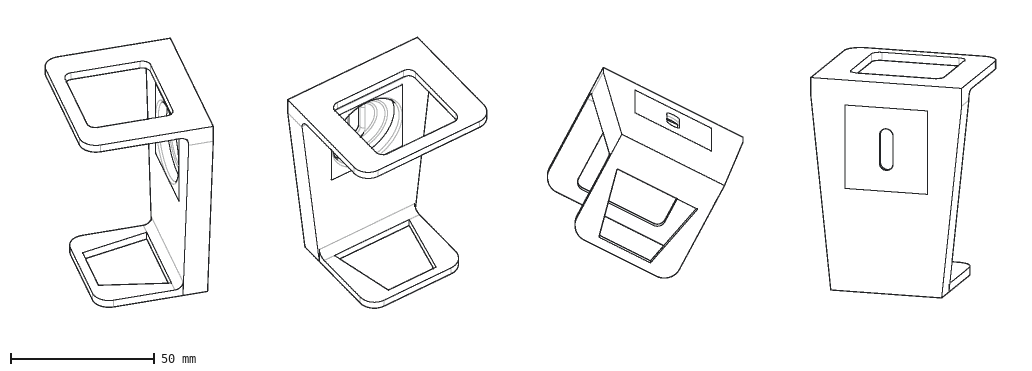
import cadquery as cq
import math

height = 76.0
top_width = 55.0
bottom_width = 40.4
plate_thickness = 9.0
flange_thickness = 3.0
flange_corner_radius = 6.0
root_fillet_radius = 3.0
top_reach = 47.0
bottom_reach = 40.1
taper_top = height - 6.4

top_window_width = 34.0
top_window_rear = 11.0
top_window_front = 42.0
top_window_radius = 3.0

bottom_window_rear = plate_thickness + root_fillet_radius
bottom_window_front = 36.8
bottom_window_rear_width = 31.6
bottom_window_front_width = 20.2

insert_size = 30.0
insert_center_z = 52.0

bore_radius = 28.3 / 2
bore_depth = 3.8
mouth_fillet_radius = 0.75
cone_top_radius = 10.8
floor_radius = 8.2
floor_depth = 6.5
cone_fillet_radius = 1.15

slot_width = 4.95
slot_straight = 9.95
slot_mouth_width = 7.45
slot_mouth_relief = 0.45
slot_fillet_radius = (slot_mouth_width - slot_width) / 2

plate_front = -plate_thickness


def make_back_plate():
    """Plate with upright sides at the top, tapering towards the bottom flange."""
    half_top = top_width / 2
    half_bottom = bottom_width / 2
    return (
        cq.Workplane("XZ")
        .polyline([
            (-half_bottom, 0),
            (half_bottom, 0),
            (half_top, taper_top),
            (half_top, height),
            (-half_top, height),
            (-half_top, taper_top),
        ])
        .close()
        .extrude(plate_thickness)
    )


def make_flange(width, reach, base_z):
    """Horizontal flange from the rear face forwards, its two front corners rounded."""
    return (
        cq.Workplane("XY", origin=(0, -reach / 2, base_z))
        .rect(width, reach)
        .extrude(flange_thickness)
        .faces("<Y")
        .edges("|Z")
        .fillet(flange_corner_radius)
    )


def make_root_fillet(width, flange_face_z, direction):
    """Concave fillet strip between plate and flange; direction is +1 upwards, -1 downwards."""
    radius = root_fillet_radius
    middle = radius * (1 - math.sqrt(0.5))
    return (
        cq.Workplane("YZ", origin=(-width / 2, plate_front, flange_face_z))
        .lineTo(-radius, 0)
        .threePointArc((-middle, direction * middle), (0, direction * radius))
        .close()
        .extrude(width)
    )


def make_top_window():
    length = top_window_front - top_window_rear
    center_y = -(top_window_front + top_window_rear) / 2
    base_z = height - flange_thickness - root_fillet_radius
    return (
        cq.Workplane("XY", origin=(0, center_y, base_z))
        .rect(top_window_width, length)
        .extrude(height - base_z)
        .edges("|Z")
        .fillet(top_window_radius)
    )


def make_bottom_window():
    half_rear = bottom_window_rear_width / 2
    half_front = bottom_window_front_width / 2
    return (
        cq.Workplane("XY")
        .polyline([
            (-half_rear, -bottom_window_rear),
            (half_rear, -bottom_window_rear),
            (half_front, -bottom_window_front),
            (-half_front, -bottom_window_front),
        ])
        .close()
        .extrude(flange_thickness)
    )


def make_insert_block():
    """Square block as deep as the back plate; it also shapes the opening in the bracket."""
    return (
        cq.Workplane("XZ", origin=(0, 0, insert_center_z))
        .rect(insert_size, insert_size)
        .extrude(plate_thickness)
    )


def make_bracket():
    top_flange_base = height - flange_thickness
    return (
        make_back_plate()
        .union(make_flange(top_width, top_reach, top_flange_base))
        .union(make_flange(bottom_width, bottom_reach, 0))
        .union(make_root_fillet(top_width, top_flange_base, -1))
        .union(make_root_fillet(bottom_width, flange_thickness, 1))
        .cut(make_top_window())
        .cut(make_bottom_window())
        .cut(make_insert_block())
    )


def make_recess():
    """Bore and cone revolved about the insert's Y axis, both ends of the cone rounded."""
    recess = (
        cq.Workplane("XY", origin=(0, plate_front, insert_center_z))
        .polyline([
            (0, 0),
            (bore_radius, 0),
            (bore_radius, bore_depth),
            (cone_top_radius, bore_depth),
            (floor_radius, floor_depth),
            (0, floor_depth),
        ])
        .close()
        .revolve(360, (0, 0, 0), (0, 1, 0))
    )
    cone_ends = cq.selectors.RadiusNthSelector(0) + cq.selectors.RadiusNthSelector(1)
    return recess.edges(cone_ends).fillet(cone_fillet_radius)


def slot_half_profile(base_z):
    """Half cross-section of the slot at height base_z: straight, flaring out to the recess floor."""
    floor_y = floor_depth - plate_thickness
    flare_y = floor_y + slot_fillet_radius
    half_width = slot_width / 2
    half_mouth = slot_mouth_width / 2
    arc_offset = slot_fillet_radius * math.sqrt(0.5)
    arc_middle = (half_mouth - arc_offset, flare_y - arc_offset)
    return (
        cq.Workplane("XY", origin=(0, 0, base_z))
        .lineTo(half_width, 0)
        .lineTo(half_width, flare_y)
        .threePointArc(arc_middle, (half_mouth, floor_y))
        .lineTo(half_mouth, floor_y - slot_mouth_relief)
        .lineTo(0, floor_y - slot_mouth_relief)
        .close()
    )


def make_slot():
    """Upright slot with round ends, its rim rounded over at the recess floor."""
    lower_end_z = insert_center_z - slot_straight / 2
    right_half = slot_half_profile(lower_end_z).extrude(slot_straight)
    lower_end = slot_half_profile(lower_end_z).revolve(360, (0, 0, 0), (0, 1, 0))
    return (
        right_half
        .union(right_half.mirror("YZ"))
        .union(lower_end)
        .union(lower_end.translate((0, 0, slot_straight)))
    )


def make_insert():
    insert = make_insert_block().cut(make_recess())
    insert = insert.faces("<Y").edges("%CIRCLE").fillet(mouth_fillet_radius)
    return insert.cut(make_slot())


bracket = make_bracket()
insert = make_insert()
result = cq.Compound.makeCompound([bracket.val(), insert.val()])